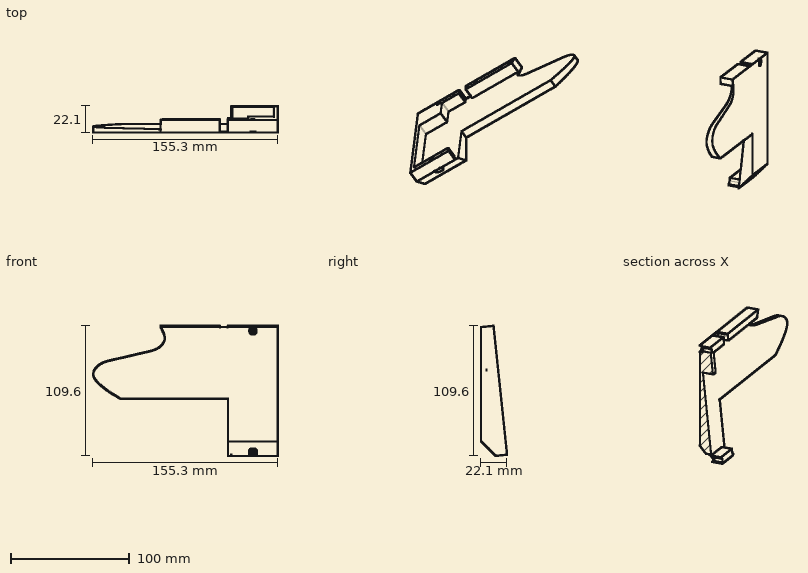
import cadquery as cq
import math


lean_angle = 6.0
total_depth = 22.12
total_height = 109.59
arm_reach = 155.33
rim_depth = 9.85

lean = math.radians(lean_angle)
plate_foot_y = total_depth - rim_depth * math.cos(lean)
plate_height = (total_height - rim_depth * math.sin(lean)) / math.cos(lean)

leg_width = 42.0
arm_bottom = 49.1
arm_heel_x = -132.5
arm_top_x = -98.7

rim_height = 6.5
pad_gap = 7.0
side_wall = 3.4
block_width = 25.0
block_height = 25.5
foot_rim_length = 38.1
inner_fillet = 0.6

pad_bead_tip = 0.8
pad_bead = 0.4
pad_bead_end = 2.9
foot_bead_tip = 1.1
foot_bead = 1.2
foot_bead_lead = 0.4
foot_bead_end = 3.8
foot_bead_sag = 0.3

screw_x = -leg_width / 2
screw_inset = rim_height / 2
screw_diameter = 3.0
head_diameter = 6.2
head_slot_width = 7.0
countersink_depth = (head_diameter - screw_diameter) / 2

clearance = 60.0


def behind_plate(sketch, depth):
    """Extrude an XZ sketch from the plate back toward +Y."""
    return sketch.extrude(-depth)


def plate_outline():
    """Closed outline of the whole plate, arm and leg included."""
    hook_and_tip = [
        (-96.6, 104.7),
        (-95.2, 99.0),
        (-98.0, 93.6),
        (-110.6, 88.0),
        (-139.6, 81.4),
        (-150.4, 77.2),
        (-arm_reach, 69.7),
        (-149.4, 60.5),
        (-141.7, 54.6),
        (arm_heel_x, arm_bottom),
    ]
    return (
        cq.Workplane("XZ")
        .moveTo(0, 0)
        .lineTo(0, plate_height)
        .lineTo(arm_top_x, plate_height)
        .spline(hook_and_tip, includeCurrent=True)
        .lineTo(-leg_width, arm_bottom)
        .lineTo(-leg_width, 0)
        .close()
    )


def rim_area():
    """Right-hand rims: side wall, screw block, right pad and foot rim in one outline."""
    pad_bottom = plate_height - rim_height
    crest_x = -leg_width - pad_bead
    foot_bead_middle = (
        -foot_rim_length - foot_bead / 2 + foot_bead_sag,
        (foot_bead_tip + foot_bead_end) / 2,
    )
    outline = (
        cq.Workplane("XZ")
        .moveTo(0, 0)
        .lineTo(0, plate_height)
        .lineTo(-leg_width, plate_height)
        .lineTo(crest_x, plate_height - pad_bead_tip)
        .lineTo(-leg_width, plate_height - pad_bead_end)
        .lineTo(-leg_width, pad_bottom)
        .lineTo(-block_width, pad_bottom)
        .lineTo(-block_width, plate_height - block_height)
        .lineTo(-side_wall, plate_height - block_height)
        .lineTo(-side_wall, rim_height)
        .lineTo(-foot_rim_length, rim_height)
        .lineTo(-foot_rim_length, foot_bead_end)
        .threePointArc(foot_bead_middle, (-foot_rim_length - foot_bead, foot_bead_tip))
        .lineTo(-foot_rim_length - foot_bead + foot_bead_lead, 0)
        .close()
    )
    rim = behind_plate(outline, rim_depth)
    for x, z in [
        (-block_width, pad_bottom),
        (-side_wall, plate_height - block_height),
        (-side_wall, rim_height),
    ]:
        corner = cq.selectors.NearestToPointSelector((x, rim_depth / 2, z))
        rim = rim.edges("|Y").edges(corner).fillet(inner_fillet)
    return rim


def left_pad():
    """Top pad over the arm, its left end following the plate outline."""
    end_x = -leg_width - pad_gap
    strip = (
        cq.Workplane("XZ")
        .moveTo(end_x, plate_height)
        .lineTo(end_x + pad_bead, plate_height - pad_bead_tip)
        .lineTo(end_x, plate_height - pad_bead_end)
        .lineTo(end_x, plate_height - rim_height)
        .lineTo(-arm_reach, plate_height - rim_height)
        .lineTo(-arm_reach, plate_height)
        .close()
    )
    return behind_plate(strip, rim_depth).intersect(behind_plate(plate_outline(), rim_depth))


def front_trim():
    """Space behind the vertical front face and above the 45 degree foot bevel."""
    reach = total_height + clearance
    return (
        cq.Workplane("YZ")
        .moveTo(0, plate_foot_y)
        .lineTo(0, reach)
        .lineTo(reach, reach)
        .lineTo(reach, plate_foot_y - reach)
        .close()
        .extrude(-2 * arm_reach)
        .translate((arm_reach / 2, 0, 0))
    )


def screw_cutter(z):
    """Through hole, countersink from the plate back plane, and head clearance in front."""
    radius = screw_diameter / 2
    head_radius = head_diameter / 2
    half_section = [
        (0, -clearance),
        (head_radius, -clearance),
        (head_radius, 0),
        (radius, countersink_depth),
        (radius, clearance),
        (0, clearance),
    ]
    cutter = cq.Workplane("XY").polyline(half_section).close().revolve(360, (0, 0), (0, 1))
    return cutter.translate((screw_x, 0, z))


def foot_head_slot():
    """Round-topped slot that opens the lower screw head clearance through the bottom edge."""
    radius = head_slot_width / 2
    return (
        cq.Workplane("XZ")
        .moveTo(screw_x - radius, 0)
        .lineTo(screw_x - radius, screw_inset)
        .threePointArc((screw_x, screw_inset + radius), (screw_x + radius, screw_inset))
        .lineTo(screw_x + radius, 0)
        .close()
        .extrude(clearance)
    )


upright = (
    plate_outline()
    .extrude(clearance)
    .union(rim_area())
    .union(left_pad())
    .cut(screw_cutter(screw_inset))
    .cut(screw_cutter(plate_height - screw_inset))
    .cut(foot_head_slot())
)

leaning = upright.rotate((0, 0, 0), (1, 0, 0), lean_angle).translate((0, plate_foot_y, 0))
result = leaning.intersect(front_trim())